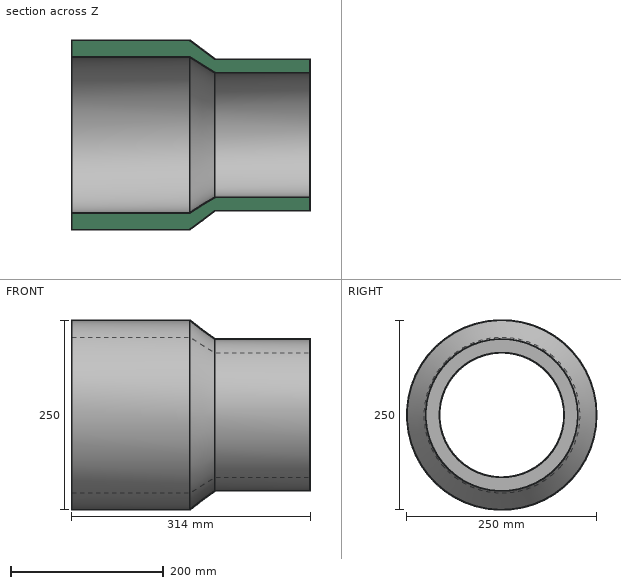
import cadquery as cq

total_length = 314.0
wide_length = 155.5
taper_length = 33.3
taper_end = wide_length + taper_length

wide_outer_diameter = 250.0
wide_bore_diameter = 205.0
narrow_outer_diameter = 200.0
narrow_bore_diameter = 163.5


def stepped_solid(wide_diameter, narrow_diameter):
    """Wide cylinder, taper and narrow cylinder revolved about X."""
    wide_radius = wide_diameter / 2
    narrow_radius = narrow_diameter / 2
    return (
        cq.Workplane("XY")
        .moveTo(0, 0)
        .lineTo(0, wide_radius)
        .lineTo(wide_length, wide_radius)
        .lineTo(taper_end, narrow_radius)
        .lineTo(total_length, narrow_radius)
        .lineTo(total_length, 0)
        .close()
        .revolve(360, (0, 0, 0), (1, 0, 0))
    )


body = stepped_solid(wide_outer_diameter, narrow_outer_diameter)
bore = stepped_solid(wide_bore_diameter, narrow_bore_diameter)
result = body.cut(bore)